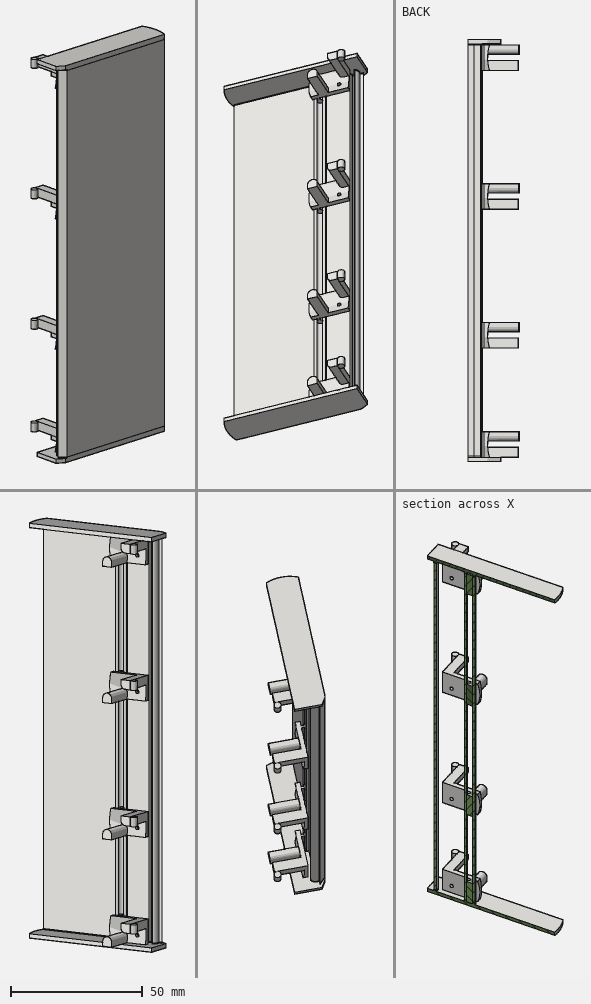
import cadquery as cq
import math


TOTAL_HEIGHT = 160.4
TOTAL_WIDTH = 19.65
CAP_DEPTH = 55.85

CAP_WIDTH = 12.5
CAP_THICKNESS = 1.7
CAP_STEP = 0.4
CAP_CROWN = 1.25
CAP_BEVEL_X = 1.9
CAP_BEVEL_Y = 3.2

PLATE_THICKNESS = 2.4
PLATE_FRONT = 1.45
PLATE_BACK = CAP_DEPTH - CAP_CROWN
LIP_RADIUS = 2.65
LIP_CENTRE_X = -3.4
LIP_CENTRE_Y = 5.3
LIP_TIP_X = -5.55
LIP_BACK = 4.1
PAD_THICKNESS = 3.75
PAD_FRONT = 5.9
PAD_CHAMFER = 0.5
RAIL_CENTRE_Y = 18.45
RAIL_WIDTH = 4.85
RAIL_EDGE_X = -4.7
RAIL_CROWN = 0.4
GROOVE_MOUTH = 2.2
GROOVE_RADIUS = 1.2

CLIP_HEIGHT = 9.7
CLIP_PITCH = 52.7
UPPER_CLIP_COUNT = 3
CLIP_FRONT = 5.4
CLIP_BACK = 20.8
CLIP_BACK_BULGE = 1.0
CLIP_REAR_X = -6.2
CLIP_MAX_THICKNESS = 2.0
CLIP_HOLLOW = 0.7
ARM_END_X = -19.2
ARM_WIDTH = 4.0
ARM_HEIGHT = 3.6
ARM_FILLET = 1.8
KNOB_DIAMETER = 2.7
KNOB_CENTRE_X = -TOTAL_WIDTH + KNOB_DIAMETER / 2
KNOB_CENTRE_Y = 4.1
PIN_CENTRE_Y = 15.6
PIN_WIDTH = 4.0
PIN_HEIGHT = 3.85
HOLE_DIAMETER = 1.4
HOLE_CENTRE_Y = 9.4
HOLE_CENTRE_Z = 3.2
NECK_WIDTH = 0.9

PANEL_BOTTOM = CAP_THICKNESS + CAP_STEP
PANEL_HEIGHT = TOTAL_HEIGHT - 2 * PANEL_BOTTOM
GROOVE_CENTRE_X = RAIL_EDGE_X + math.sqrt(GROOVE_RADIUS**2 - (GROOVE_MOUTH / 2) ** 2)
TOP_CLIP_Z = TOTAL_HEIGHT - PANEL_BOTTOM - CLIP_HEIGHT
CLIP_LEVELS = [CAP_THICKNESS] + [TOP_CLIP_Z - i * CLIP_PITCH for i in range(UPPER_CLIP_COUNT)]


def lip_point(angle):
    """Point on the lip's round front; the angle runs from -X (0) towards -Y (90 degrees)."""
    x = LIP_CENTRE_X - LIP_RADIUS * math.cos(angle)
    y = LIP_CENTRE_Y - LIP_RADIUS * math.sin(angle)
    return x, y


def panel_section():
    """Cross-section of the panel: plate, front lip and a raised pad that ends in a grooved rail."""
    lip_root_angle = math.acos((LIP_CENTRE_X + PLATE_THICKNESS) / LIP_RADIUS)
    lip_tip_angle = math.acos((LIP_CENTRE_X - LIP_TIP_X) / LIP_RADIUS)
    lip_middle_angle = (lip_root_angle + lip_tip_angle) / 2
    rail_front = RAIL_CENTRE_Y - RAIL_WIDTH / 2
    rail_back = RAIL_CENTRE_Y + RAIL_WIDTH / 2
    groove_front = RAIL_CENTRE_Y - GROOVE_MOUTH / 2
    groove_back = RAIL_CENTRE_Y + GROOVE_MOUTH / 2
    crown_x = RAIL_EDGE_X - RAIL_CROWN
    return (
        cq.Workplane("XY")
        .moveTo(0, PLATE_FRONT + PLATE_THICKNESS)
        .lineTo(-PLATE_THICKNESS, PLATE_FRONT)
        .lineTo(*lip_point(lip_root_angle))
        .threePointArc(lip_point(lip_middle_angle), lip_point(lip_tip_angle))
        .lineTo(LIP_TIP_X, LIP_BACK)
        .lineTo(-PLATE_THICKNESS, LIP_BACK)
        .lineTo(-PLATE_THICKNESS, PAD_FRONT)
        .lineTo(-PAD_THICKNESS + PAD_CHAMFER, PAD_FRONT)
        .lineTo(-PAD_THICKNESS, PAD_FRONT + PAD_CHAMFER)
        .lineTo(-PAD_THICKNESS, rail_front)
        .lineTo(RAIL_EDGE_X, rail_front)
        .threePointArc((crown_x, (rail_front + groove_front) / 2), (RAIL_EDGE_X, groove_front))
        .threePointArc((GROOVE_CENTRE_X + GROOVE_RADIUS, RAIL_CENTRE_Y), (RAIL_EDGE_X, groove_back))
        .threePointArc((crown_x, (groove_back + rail_back) / 2), (RAIL_EDGE_X, rail_back))
        .lineTo(-PLATE_THICKNESS, rail_back)
        .lineTo(-PLATE_THICKNESS, PLATE_BACK)
        .lineTo(0, PLATE_BACK)
        .close()
    )


def make_panel():
    return panel_section().extrude(PANEL_HEIGHT).translate((0, 0, PANEL_BOTTOM))


def make_cap(plate_z, step_z):
    """End cap: a plate with a crowned back end, and a step that carries on the panel's section."""
    plate = (
        cq.Workplane("XY")
        .moveTo(-CAP_WIDTH, 0)
        .lineTo(-CAP_BEVEL_X, 0)
        .lineTo(0, CAP_BEVEL_Y)
        .lineTo(0, PLATE_BACK)
        .threePointArc((-CAP_WIDTH / 2, CAP_DEPTH), (-CAP_WIDTH, PLATE_BACK))
        .close()
        .extrude(CAP_THICKNESS)
        .translate((0, 0, plate_z))
    )
    step = panel_section().extrude(CAP_STEP).translate((0, 0, step_z))
    return plate.union(step)


def clip_base():
    """Upright base plate with a bulged back end and a front face hollowed along Y."""
    base = (
        cq.Workplane("YZ", origin=(CLIP_REAR_X, 0, 0))
        .moveTo(CLIP_FRONT, 0)
        .lineTo(CLIP_BACK, 0)
        .threePointArc((CLIP_BACK + CLIP_BACK_BULGE, CLIP_HEIGHT / 2), (CLIP_BACK, CLIP_HEIGHT))
        .lineTo(CLIP_FRONT, CLIP_HEIGHT)
        .close()
        .extrude(-CLIP_MAX_THICKNESS)
    )
    hollow_radius = ((CLIP_HEIGHT / 2) ** 2 + CLIP_HOLLOW**2) / (2 * CLIP_HOLLOW)
    hollow_x = CLIP_REAR_X - CLIP_MAX_THICKNESS + CLIP_HOLLOW - hollow_radius
    hollow = (
        cq.Workplane("XZ")
        .center(hollow_x, CLIP_HEIGHT / 2)
        .circle(hollow_radius)
        .extrude(-CAP_DEPTH)
    )
    return base.cut(hollow)


def clip_arm():
    """Arm along X at the top front of the clip, with a round knob at its end."""
    length = CLIP_REAR_X - ARM_END_X
    arm_z = CLIP_HEIGHT - ARM_HEIGHT
    arm = (
        cq.Workplane("XY")
        .box(length, ARM_WIDTH, ARM_HEIGHT, centered=False)
        .edges("|X and >Y and <Z")
        .fillet(ARM_FILLET)
        .translate((ARM_END_X, CLIP_FRONT, arm_z))
    )
    knob = (
        cq.Workplane("XY", origin=(KNOB_CENTRE_X, KNOB_CENTRE_Y, arm_z))
        .circle(KNOB_DIAMETER / 2)
        .extrude(ARM_HEIGHT)
    )
    return arm.union(knob)


def clip_pin():
    """Pin along X at the bottom of the clip: straight sides below a half-round top."""
    radius = PIN_WIDTH / 2
    side_height = PIN_HEIGHT - radius
    return (
        cq.Workplane("YZ", origin=(CLIP_REAR_X, 0, 0))
        .moveTo(PIN_CENTRE_Y - radius, 0)
        .lineTo(PIN_CENTRE_Y + radius, 0)
        .lineTo(PIN_CENTRE_Y + radius, side_height)
        .threePointArc((PIN_CENTRE_Y, PIN_HEIGHT), (PIN_CENTRE_Y - radius, side_height))
        .close()
        .extrude(ARM_END_X - CLIP_REAR_X)
    )


def clip_bead():
    """Round bead that fits the rail groove, with the neck that joins it to the base plate."""
    bead = (
        cq.Workplane("XY", origin=(GROOVE_CENTRE_X, RAIL_CENTRE_Y, 0))
        .circle(GROOVE_RADIUS)
        .extrude(CLIP_HEIGHT)
    )
    neck = (
        cq.Workplane("XY")
        .box(GROOVE_CENTRE_X - CLIP_REAR_X, NECK_WIDTH, CLIP_HEIGHT, centered=False)
        .translate((CLIP_REAR_X, RAIL_CENTRE_Y - NECK_WIDTH / 2, 0))
    )
    return bead.union(neck)


def make_clip(bottom_z):
    hole = (
        cq.Workplane("YZ", origin=(CLIP_REAR_X, HOLE_CENTRE_Y, HOLE_CENTRE_Z))
        .circle(HOLE_DIAMETER / 2)
        .extrude(-CLIP_MAX_THICKNESS)
    )
    clip = clip_base().cut(hole).union(clip_arm()).union(clip_pin()).union(clip_bead())
    return clip.translate((0, 0, bottom_z))


panel = make_panel()
lower_cap = make_cap(0, CAP_THICKNESS)
upper_cap = make_cap(TOTAL_HEIGHT - CAP_THICKNESS, TOTAL_HEIGHT - PANEL_BOTTOM)
clips = [make_clip(level) for level in CLIP_LEVELS]

result = cq.Compound.makeCompound(
    [panel.val(), lower_cap.val(), upper_cap.val(), *[clip.val() for clip in clips]]
)